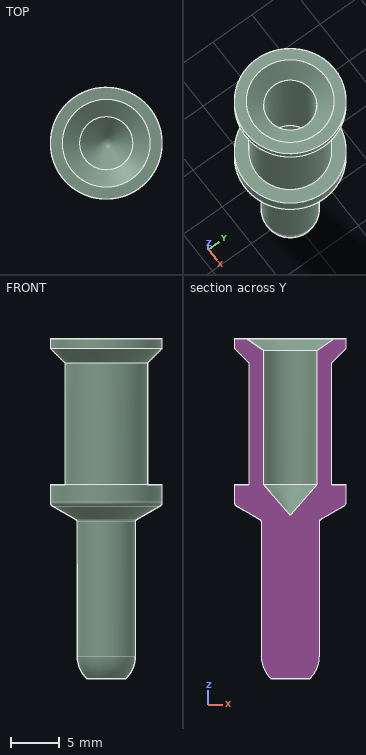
import cadquery as cq
import math

total_length = 35.0
flange_radius = 5.758

barrel_radius = 4.27
rim_thickness = 1.0
rim_cone_height = flange_radius - barrel_radius

flange_top = total_length - 15.0
flange_thickness = 2.1
flange_cone_angle = 30.0
flange_edge_radius = 0.5
pin_root_radius = 0.2

pin_radius = 3.0
tip_flat_radius = 2.0
tip_height = 2.3

bore_radius = 2.73
countersink_radius = 4.5
countersink_depth = 1.22
bore_depth = 15.0
bore_tip_angle = 82.0

rim_bottom = total_length - rim_thickness
barrel_top = rim_bottom - rim_cone_height
flange_bottom = flange_top - flange_thickness
flange_cone_height = (flange_radius - pin_radius) * math.tan(math.radians(flange_cone_angle))
pin_top = flange_bottom - flange_cone_height

tip_inset = pin_radius - tip_flat_radius
tip_arc_radius = (tip_height**2 + tip_inset**2) / (2 * tip_inset)
half_tip_angle = math.asin(tip_height / tip_arc_radius) / 2
tip_arc_middle = (
    pin_radius - tip_arc_radius * (1 - math.cos(half_tip_angle)),
    tip_height - tip_arc_radius * math.sin(half_tip_angle),
)


def circle_edge(body, radius, height):
    """Select the circular edges around Z at the given radius and height."""
    tolerance = 0.005
    low = (-radius - tolerance, -radius - tolerance, height - tolerance)
    high = (radius + tolerance, radius + tolerance, height + tolerance)
    return body.edges(cq.selectors.BoxSelector(low, high, boundingbox=True))


def make_body():
    """Revolve the outer profile and round the two corners of the flange cone."""
    body = (
        cq.Workplane("XZ")
        .lineTo(tip_flat_radius, 0)
        .threePointArc(tip_arc_middle, (pin_radius, tip_height))
        .lineTo(pin_radius, pin_top)
        .lineTo(flange_radius, flange_bottom)
        .lineTo(flange_radius, flange_top)
        .lineTo(barrel_radius, flange_top)
        .lineTo(barrel_radius, barrel_top)
        .lineTo(flange_radius, rim_bottom)
        .lineTo(flange_radius, total_length)
        .lineTo(0, total_length)
        .close()
        .revolve(360, (0, 0), (0, 1))
    )
    body = circle_edge(body, flange_radius, flange_bottom).fillet(flange_edge_radius)
    return circle_edge(body, pin_radius, pin_top).fillet(pin_root_radius)


def make_bore():
    """Revolve the countersunk bore with its conical bottom."""
    bore_bottom = total_length - bore_depth
    bore_tip_height = bore_radius / math.tan(math.radians(bore_tip_angle / 2))
    return (
        cq.Workplane("XZ")
        .moveTo(0, total_length)
        .lineTo(countersink_radius, total_length)
        .lineTo(bore_radius, total_length - countersink_depth)
        .lineTo(bore_radius, bore_bottom)
        .lineTo(0, bore_bottom - bore_tip_height)
        .close()
        .revolve(360, (0, 0), (0, 1))
    )


result = make_body().cut(make_bore())